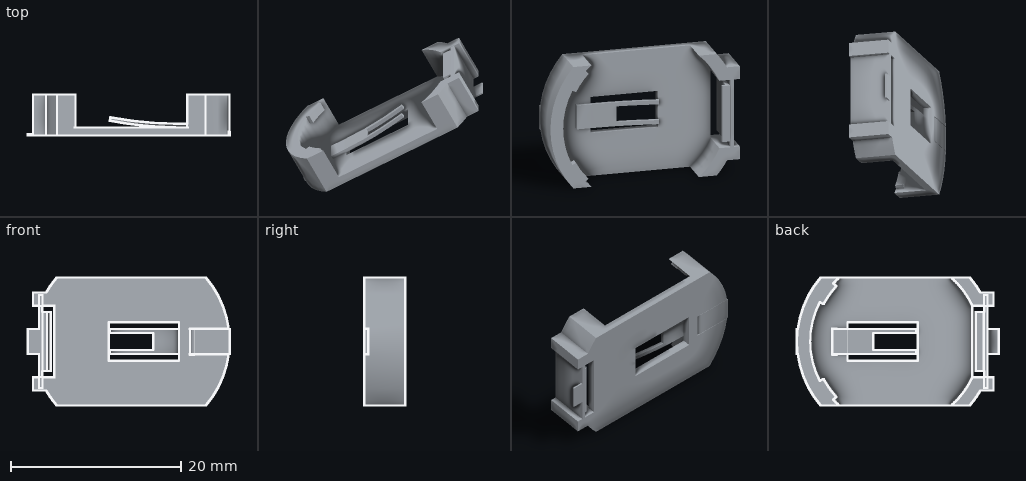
import cadquery as cq
import math


HEIGHT = 4.86
WIDTH = 15.1
OUTER_RADIUS = 11.56
CAVITY_RADIUS = 10.0
BASE_THICKNESS = 0.98

JAW_OUTER_Z = 5.78
JAW_INNER_Z = 4.19

LIP_RADIUS = 9.5
LIP_THICKNESS = 1.0
LIP_START_ANGLE = 27.5
LIP_END_ANGLE = 43.3

WINDOW_X_MIN = -2.64
WINDOW_X_MAX = 5.6
WINDOW_WIDTH = 4.5

SHEET = 0.43
TAB_WIDTH = 2.96
SETBACK = 0.01

PLATE_X_MIN = -10.88
PLATE_X_MAX = PLATE_X_MIN + SHEET
PLATE_WIDTH = 10.96
PLATE_TOP = HEIGHT - SETBACK
END_TAB_X = -12.18
END_TAB_THICKNESS = 0.18
SPRING_WIDTH = 6.96
SPRING_X_MAX = -9.94
SPRING_BEND_RADIUS = 0.42
SPRING_Y = 0.08
FLANGE_X_MAX = -9.45

CLEARANCE = 0.05
LEG_X = 6.93
BASE_TAB_X = 11.58
BEND_OUTER_RADIUS = 0.52
ARM_TIP_X = -2.55
ARM_FLAT_X = WINDOW_X_MAX
ARM_RISE = 0.77
ARM_SLOT_WIDTH = 1.95
ARM_SLOT_END_X = 2.58


def block(x_min, x_max, y_min, y_max, z_width):
    """A box centred on z = 0."""
    size = (x_max - x_min, y_max - y_min, z_width)
    return cq.Workplane("XY").box(*size, centered=(False, False, True)).translate((x_min, y_min, 0))


def disc(radius, y_min, y_max):
    """A round disc about the Y axis."""
    return cq.Workplane("XZ", origin=(0, y_min, 0)).circle(radius).extrude(y_min - y_max)


def make_lips():
    """Two arc-shaped lips at the open face, mirrored about z = 0."""
    ring = disc(CAVITY_RADIUS, HEIGHT - LIP_THICKNESS, HEIGHT)
    ring = ring.cut(disc(LIP_RADIUS, HEIGHT - LIP_THICKNESS, HEIGHT))
    reach = OUTER_RADIUS
    start_slope = math.tan(math.radians(LIP_START_ANGLE))
    end_slope = math.tan(math.radians(LIP_END_ANGLE))
    sector = (
        cq.Workplane("XZ")
        .polyline([(0, 0), (reach, reach * end_slope), (reach, reach * start_slope)])
        .close()
        .extrude(-HEIGHT)
    )
    upper_lip = ring.intersect(sector)
    return [upper_lip, upper_lip.mirror("XY")]


def make_housing():
    body = disc(OUTER_RADIUS, 0, HEIGHT)
    body = body.intersect(block(-OUTER_RADIUS, OUTER_RADIUS, 0, HEIGHT, WIDTH))
    body = body.union(block(-OUTER_RADIUS, 0, 0, HEIGHT, 2 * JAW_OUTER_Z))
    body = body.cut(disc(CAVITY_RADIUS, BASE_THICKNESS, HEIGHT))

    opening_x = -math.sqrt(CAVITY_RADIUS**2 - JAW_INNER_Z**2)
    body = body.cut(block(-OUTER_RADIUS, opening_x, 0, HEIGHT, 2 * JAW_INNER_Z))
    for lip in make_lips():
        body = body.union(lip)

    body = body.cut(block(PLATE_X_MIN, PLATE_X_MAX, SETBACK, PLATE_TOP, PLATE_WIDTH))
    body = body.cut(block(WINDOW_X_MIN, WINDOW_X_MAX, 0, BASE_THICKNESS, WINDOW_WIDTH))

    recess_x = LEG_X - CLEARANCE
    recess_width = TAB_WIDTH + 2 * CLEARANCE
    recess_depth = SETBACK + SHEET + CLEARANCE
    body = body.cut(block(recess_x, OUTER_RADIUS, 0, recess_depth, recess_width))
    slot_end_x = LEG_X + SHEET + CLEARANCE
    return body.cut(block(recess_x, slot_end_x, 0, BASE_THICKNESS, recess_width))


def make_end_contact():
    plate = block(PLATE_X_MIN, PLATE_X_MAX, SETBACK, PLATE_TOP, PLATE_WIDTH)
    tab = block(END_TAB_X, PLATE_X_MAX, SETBACK, SETBACK + END_TAB_THICKNESS, TAB_WIDTH)
    spring = block(PLATE_X_MAX, SPRING_X_MAX, SPRING_Y, SPRING_Y + SHEET, SPRING_WIDTH)
    spring = spring.union(block(SPRING_X_MAX - SHEET, SPRING_X_MAX, SPRING_Y, PLATE_TOP, SPRING_WIDTH))
    spring = spring.edges("|Z and >X and <Y").fillet(SPRING_BEND_RADIUS)
    flange = block(SPRING_X_MAX - SHEET, FLANGE_X_MAX, PLATE_TOP - SHEET, PLATE_TOP, SPRING_WIDTH)
    return plate.union(tab).union(spring).union(flange)


def make_base_contact():
    arm_top = BASE_THICKNESS + SHEET
    tab = block(LEG_X, BASE_TAB_X, SETBACK, SETBACK + SHEET, TAB_WIDTH)
    leg = block(LEG_X, LEG_X + SHEET, SETBACK, arm_top, TAB_WIDTH)
    flat = block(ARM_FLAT_X, LEG_X + SHEET, BASE_THICKNESS, arm_top, TAB_WIDTH)
    foot = tab.union(leg).edges("|Z and <X and <Y").fillet(BEND_OUTER_RADIUS)

    run = ARM_FLAT_X - ARM_TIP_X
    arc_radius = (run**2 + ARM_RISE**2) / (2 * ARM_RISE)
    tip_angle = math.asin(run / arc_radius)
    centre_y = BASE_THICKNESS + arc_radius

    def arc_point(radius, angle):
        return (ARM_FLAT_X - radius * math.sin(angle), centre_y - radius * math.cos(angle))

    top_radius = arc_radius - SHEET
    arm = (
        cq.Workplane("XY", origin=(0, 0, -TAB_WIDTH / 2))
        .moveTo(ARM_FLAT_X, BASE_THICKNESS)
        .threePointArc(arc_point(arc_radius, tip_angle / 2), arc_point(arc_radius, tip_angle))
        .lineTo(*arc_point(top_radius, tip_angle))
        .threePointArc(arc_point(top_radius, tip_angle / 2), (ARM_FLAT_X, arm_top))
        .close()
        .extrude(TAB_WIDTH)
    )
    arm_slot = block(ARM_TIP_X - SHEET, ARM_SLOT_END_X, 0, HEIGHT, ARM_SLOT_WIDTH)
    return foot.union(flat).union(arm).cut(arm_slot)


housing = make_housing()
end_contact = make_end_contact()
base_contact = make_base_contact()

bodies = [housing, end_contact, base_contact]
result = cq.Compound.makeCompound([body.solids().val() for body in bodies])